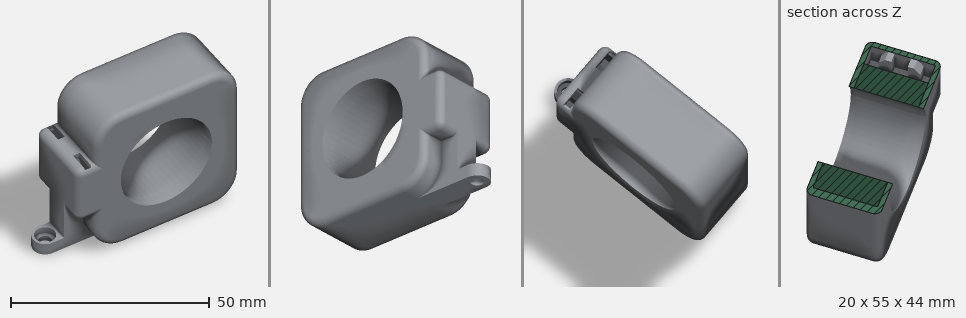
import cadquery as cq
import math

width = 20.0
height = 44.0
length = 42.5
back = 21.8
front = back - length
corner_radius = 8.0
edge_radius = 2.0
wall = 1.5

bore_diameter = 27.0
ferrite_diameter = height - 2 * wall
ferrite_width = width - 2 * wall

latch_reach = 5.5
latch_height = 16.95
latch_front = front - latch_reach
latch_top = latch_height / 2
latch_overlap = 2.75

cavity_width = width - 2 * wall
cavity_front = latch_front + wall
cavity_top = latch_top - wall
cavity_back = -math.sqrt((ferrite_diameter / 2) ** 2 - cavity_top**2)

slot_inner = 3.5
slot_outer = 9.3
slot_front = -23.65
slot_back = -21.65
slot_corner_chamfer = 0.2

hook_inner = 2.2
hook_tip = 3.85
hook_outer = 5.55
hook_back = -22.05
hook_clearance = 0.3
hook_slope_angle = 50.0

foot_width = 7.0
foot_thickness = 3.5
foot_tip = back - 55.0
foot_hole_y = foot_tip + foot_width / 2
foot_root = 0.0
hole_diameter = 3.5
counterbore_diameter = 5.6
counterbore_depth = 2.0


def box_between(x_range, y_range, z_range):
    """Box spanning the given (low, high) range on each axis."""
    sizes = [high - low for low, high in (x_range, y_range, z_range)]
    lows = (x_range[0], y_range[0], z_range[0])
    return cq.Workplane("XY").box(*sizes, centered=False).translate(lows)


def x_cylinder(diameter, span):
    """Cylinder on the bore axis, centred on X = 0."""
    return cq.Workplane("YZ", origin=(-span / 2, 0, 0)).circle(diameter / 2).extrude(span)


def rounded_case():
    """Solid case with large corners and rounded side edges."""
    case = box_between((-width / 2, width / 2), (front, back), (-height / 2, height / 2))
    case = case.edges("|X").fillet(corner_radius)
    return case.faces("<X or >X").edges().fillet(edge_radius)


def latch_block():
    """Rounded block on the front; its back end is buried in the case."""
    block = box_between(
        (-width / 2, width / 2),
        (latch_front, front + latch_overlap),
        (-latch_top, latch_top),
    )
    return block.edges("|Y or <Y").fillet(edge_radius)


def latch_cavity():
    """Hollow of the upper latch block, open to the ferrite seat and the parting plane."""
    return box_between(
        (-cavity_width / 2, cavity_width / 2),
        (cavity_front, cavity_back),
        (0, cavity_top),
    )


def latch_slot():
    """Slot through the latch block roof on the +X side, with chamfered outer corners."""
    slot = box_between((slot_inner, slot_outer), (slot_front, slot_back), (cavity_top, latch_top))
    return slot.edges("|Z and >X").chamfer(slot_corner_chamfer)


def latch_hook():
    """Upright hook on the +X side whose top slopes down outwards."""
    top = cavity_top - hook_clearance
    shoulder = top - (hook_outer - hook_tip) * math.tan(math.radians(hook_slope_angle))
    outline = [
        (hook_inner, 0),
        (hook_inner, top),
        (hook_tip, top),
        (hook_outer, shoulder),
        (hook_outer, 0),
    ]
    profile = cq.Workplane("XZ", origin=(0, hook_back, 0)).polyline(outline).close()
    return profile.extrude(hook_back - cavity_front)


def with_mirror(shape):
    """The shape together with its mirror image on the -X side."""
    return shape.union(shape.mirror("YZ"))


def mounting_foot():
    """Upright rib under the latch block with a rounded, counterbored tab."""
    half = foot_width / 2
    bottom = -height / 2
    rib = box_between((-half, half), (latch_front, foot_root), (bottom, 0))
    rib = rib.cut(x_cylinder(ferrite_diameter, ferrite_width))
    tab = box_between((-half, half), (foot_hole_y, latch_front), (bottom, bottom + foot_thickness))
    tip = (
        cq.Workplane("XY", origin=(0, foot_hole_y, bottom)).circle(half).extrude(foot_thickness)
    )
    tab_top = cq.Workplane("XY", origin=(0, foot_hole_y, bottom + foot_thickness))
    foot = rib.union(tab).union(tip)
    foot = foot.cut(tab_top.circle(hole_diameter / 2).extrude(-foot_thickness))
    return foot.cut(tab_top.circle(counterbore_diameter / 2).extrude(-counterbore_depth))


def half_space(side):
    """Block holding everything above (side = 1) or below (side = -1) the parting plane."""
    reach = 55.0
    z_range = (0, reach) if side > 0 else (-reach, 0)
    return box_between((-reach, reach), (-reach, reach), z_range)


def housing_half(side):
    """Half of the housing shell, with the bore and the seat for the ferrite."""
    half = rounded_case().union(latch_block()).intersect(half_space(side))
    half = half.cut(x_cylinder(bore_diameter, width))
    return half.cut(x_cylinder(ferrite_diameter, ferrite_width))


def ferrite_half(side):
    """Half of the ferrite ring, flush with the housing bore."""
    ring = x_cylinder(ferrite_diameter, ferrite_width)
    ring = ring.cut(x_cylinder(bore_diameter, ferrite_width))
    return ring.intersect(half_space(side))


upper_housing = housing_half(1).cut(latch_cavity()).cut(with_mirror(latch_slot()))
lower_housing = housing_half(-1).union(mounting_foot()).union(with_mirror(latch_hook()))
ferrite_halves = [ferrite_half(side).val() for side in (1, -1)]

result = cq.Compound.makeCompound([upper_housing.val(), lower_housing.val(), *ferrite_halves])